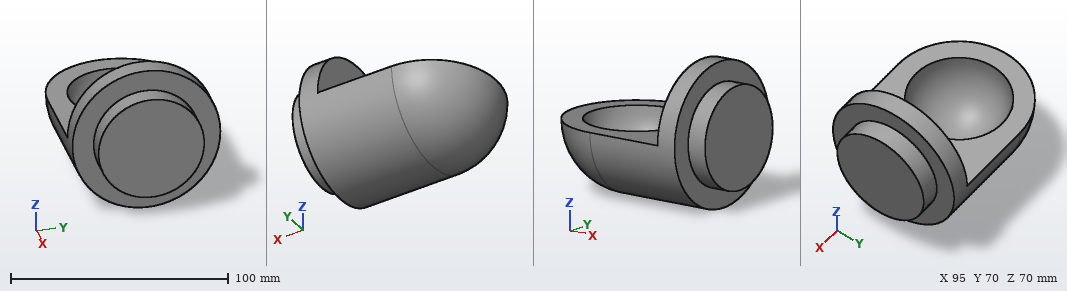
import cadquery as cq

total_length = 95.0
body_diameter = 70.0
bowl_diameter = 50.0
boss_diameter = 50.0
flange_thickness = 10.0
boss_length = 10.0

body_radius = body_diameter / 2
boss_start = total_length - body_radius - boss_length
flange_start = boss_start - flange_thickness


def rod(diameter, start, length):
    """Solid cylinder along +X, beginning at x = start."""
    return cq.Workplane("YZ").workplane(offset=start).circle(diameter / 2).extrude(length)


lower_half = cq.Workplane("XY").box(
    2 * total_length, body_diameter, body_radius, centered=(True, True, False)
).translate((0, 0, -body_radius))
nose = cq.Workplane("XY").sphere(body_radius)
body = rod(body_diameter, 0, boss_start).union(nose).intersect(lower_half)

bowl = cq.Workplane("XY").sphere(bowl_diameter / 2)

flange = rod(body_diameter, flange_start, flange_thickness)
boss = rod(boss_diameter, boss_start, boss_length)

result = body.cut(bowl).union(flange).union(boss)